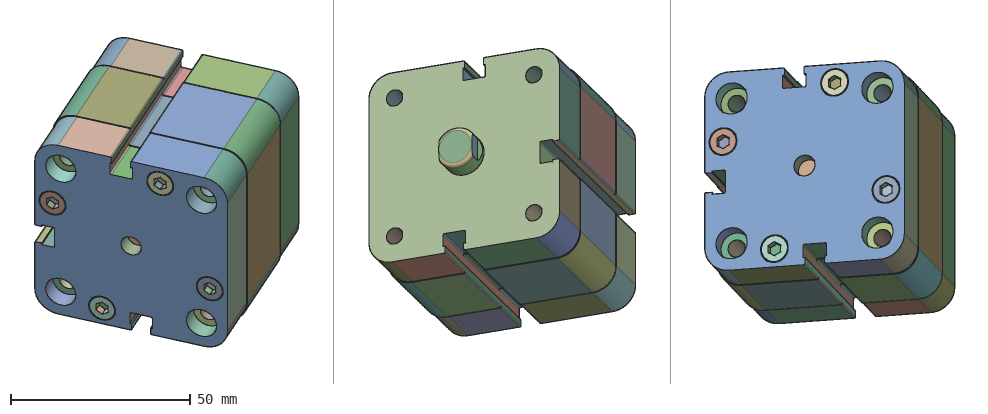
import cadquery as cq
import math

BODY_SIZE = 58.1
TOTAL_LENGTH = 62.0
CAP_LENGTH = 14.75
ROD_LENGTH = 6.5
BLOCK_LENGTH = TOTAL_LENGTH - ROD_LENGTH
BARREL_LENGTH = BLOCK_LENGTH - 2 * CAP_LENGTH

CAP_STEP = 0.25
CAP_SIZE = BODY_SIZE - 2 * CAP_STEP
CORNER_RADIUS = 7.0

SLOT_OFFSET = 3.0
SLOT_NECK_WIDTH = 5.65
SLOT_LEDGE_HEIGHT = 26.65
SLOT_INNER_WIDTH = 6.7
SLOT_DEPTH = 5.95
SLOT_LIP_RADIUS = 0.4
SLOT_FLOOR_RADIUS = 0.45
SLOT_TURNS = (0, 90, 180)

MOUNT_OFFSET = 21.0
MOUNT_HOLE_DIAMETER = 4.9
MOUNT_BORE_DIAMETER = 9.0
MOUNT_BORE_DEPTH = 5.5

SCREW_SIDE_OFFSET = 8.7
SCREW_FACE_OFFSET = 23.5
SCREW_TURNS = (0, 90, 180, 270)
SCREW_BORE_DIAMETER = 8.0
SCREW_HEAD_DIAMETER = 7.5
SCREW_HEAD_HEIGHT = 4.0
SCREW_SOCKET_DIAMETER = 4.1
SCREW_SOCKET_DEPTH = 2.5

CENTRE_HOLE_DIAMETER = 6.0
CENTRE_HOLE_DEPTH = 4.95

ROD_DIAMETER = 12.0
ROD_FLATS_WIDTH = 10.0
ROD_FLATS_LENGTH = 4.35
ROD_TIP_RADIUS = 1.1


def front_plane(y):
    """Plane across the part at the given Y: local x is +X, local y is +Z, normal is -Y."""
    return cq.Workplane("XZ", origin=(0, y, 0))


def cylinder(diameter, y_start, length, points=((0, 0),)):
    """Cylinders along +Y at each (x, z) point."""
    return front_plane(y_start).pushPoints(points).circle(diameter / 2).extrude(-length)


def turned_about_y(shape, angle):
    """Turn a shape about the Y axis, taking +X towards +Z."""
    return shape.rotate((0, 0, 0), (0, -1, 0), angle)


def top_slot(half_size, y_start, length):
    """Cutter for the slot in the top face, with rounded lips at its mouth and a rounded floor."""
    neck = SLOT_NECK_WIDTH / 2
    inner = SLOT_INNER_WIDTH / 2
    mouth = neck + SLOT_LIP_RADIUS
    lip_start = half_size - SLOT_LIP_RADIUS
    ledge = SLOT_LEDGE_HEIGHT
    floor = half_size - SLOT_DEPTH
    arc_inset = SLOT_LIP_RADIUS * (1 - math.sqrt(0.5))
    arc_x = neck + arc_inset
    arc_z = half_size - arc_inset
    cutter = (
        cq.Workplane("XZ", origin=(-SLOT_OFFSET, y_start, 0))
        .moveTo(-inner, floor)
        .lineTo(inner, floor)
        .lineTo(inner, ledge)
        .lineTo(neck, ledge)
        .lineTo(neck, lip_start)
        .threePointArc((arc_x, arc_z), (mouth, half_size))
        .lineTo(-mouth, half_size)
        .threePointArc((-arc_x, arc_z), (-neck, lip_start))
        .lineTo(-neck, ledge)
        .lineTo(-inner, ledge)
        .close()
        .extrude(-length)
    )
    return cutter.faces("<Z").edges("|Y").fillet(SLOT_FLOOR_RADIUS)


def slotted_section(size, y_start, length):
    """A length of rounded square bar with its three slots."""
    section = front_plane(y_start).rect(size, size).extrude(-length)
    section = section.edges("|Y").fillet(CORNER_RADIUS)
    slot = top_slot(size / 2, y_start, length)
    for angle in SLOT_TURNS:
        section = section.cut(turned_about_y(slot, angle))
    return section


def block():
    """Front cap, barrel and rear cap joined end to end."""
    front_cap = slotted_section(CAP_SIZE, 0, CAP_LENGTH)
    barrel = slotted_section(BODY_SIZE, CAP_LENGTH, BARREL_LENGTH)
    rear_cap = slotted_section(CAP_SIZE, CAP_LENGTH + BARREL_LENGTH, CAP_LENGTH)
    return front_cap.union(barrel).union(rear_cap)


def mounting_holes():
    """Through holes in the four corners, counterbored from the front."""
    points = [(x, z) for x in (-MOUNT_OFFSET, MOUNT_OFFSET) for z in (-MOUNT_OFFSET, MOUNT_OFFSET)]
    holes = cylinder(MOUNT_HOLE_DIAMETER, 0, BLOCK_LENGTH, points)
    return holes.union(cylinder(MOUNT_BORE_DIAMETER, 0, MOUNT_BORE_DEPTH, points))


def screw_recesses():
    """The ring gap around each screw head and the hexagon socket inside it."""
    point = [(SCREW_SIDE_OFFSET, SCREW_FACE_OFFSET)]
    gap = cylinder(SCREW_BORE_DIAMETER, 0, SCREW_HEAD_HEIGHT, point)
    gap = gap.cut(cylinder(SCREW_HEAD_DIAMETER, 0, SCREW_HEAD_HEIGHT, point))
    socket = front_plane(0).polygon(6, SCREW_SOCKET_DIAMETER).extrude(-SCREW_SOCKET_DEPTH)
    socket = turned_about_y(socket, 90)
    recesses = front_plane(0)
    for angle in SCREW_TURNS:
        turn = math.radians(angle)
        x = SCREW_SIDE_OFFSET * math.cos(turn) - SCREW_FACE_OFFSET * math.sin(turn)
        z = SCREW_SIDE_OFFSET * math.sin(turn) + SCREW_FACE_OFFSET * math.cos(turn)
        recesses = recesses.add(turned_about_y(gap, angle)).add(socket.translate((x, 0, z)))
    return recesses.combine()


def piston_rod():
    """Round rod end with a rounded tip and two wrench flats facing -X and +X."""
    radius = ROD_DIAMETER / 2
    rod = cylinder(ROD_DIAMETER, BLOCK_LENGTH, ROD_LENGTH)
    rod = rod.faces(">Y").edges().fillet(ROD_TIP_RADIUS)
    flat = ROD_FLATS_WIDTH / 2
    flats_start = TOTAL_LENGTH - ROD_FLATS_LENGTH
    runout = radius - flat
    flat_cutter = (
        cq.Workplane("XY")
        .moveTo(flat, TOTAL_LENGTH)
        .lineTo(flat, flats_start)
        .lineTo(radius, flats_start - runout)
        .lineTo(radius, TOTAL_LENGTH)
        .close()
        .extrude(radius, both=True)
    )
    return rod.cut(flat_cutter).cut(flat_cutter.mirror("YZ"))


result = (
    block()
    .cut(mounting_holes())
    .cut(screw_recesses())
    .cut(cylinder(CENTRE_HOLE_DIAMETER, 0, CENTRE_HOLE_DEPTH))
    .union(piston_rod())
)